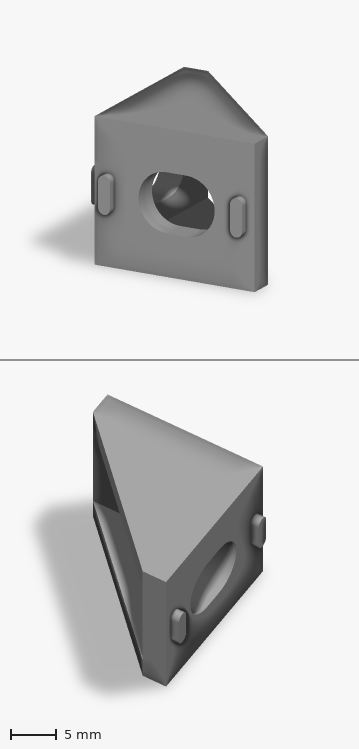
import cadquery as cq

overall = 21.0
height = 17.0
tab_projection = 1.0
leg = overall - tab_projection
wall = 3.0
side_plate = 2.5

slot_length = 9.5
slot_width = 7.0
slot_center = 10.25

tab_width = 1.5
tab_height = 4.5
tab_edge_gap = 1.0
tab_centers = (tab_edge_gap + tab_width / 2, leg - tab_edge_gap - tab_width / 2)

mid_height = height / 2


def make_body():
    """Triangular prism with blunt ends as thick as the walls."""
    outline = [(0, 0), (leg, 0), (leg, wall), (wall, leg), (0, leg)]
    return cq.Workplane("XY").polyline(outline).close().extrude(height)


def make_cavity():
    """Space between the walls and side plates, open on the sloping side."""
    cavity_height = height - 2 * side_plate
    return (
        cq.Workplane("XY", origin=(wall, wall, side_plate))
        .rect(leg, leg, centered=False)
        .extrude(cavity_height)
    )


def make_slot():
    """Screw slot through the wall on the XZ plane."""
    return (
        cq.Workplane("XZ")
        .center(slot_center, mid_height)
        .slot2D(slot_length, slot_width)
        .extrude(-wall)
    )


def make_tabs():
    """Upright rounded tabs standing out from the wall on the XZ plane."""
    return (
        cq.Workplane("XZ")
        .pushPoints([(position, mid_height) for position in tab_centers])
        .slot2D(tab_height, tab_width, angle=90)
        .extrude(tab_projection)
    )


def on_other_wall(shape):
    """Mirror a feature across the diagonal plane X = Y onto the YZ wall."""
    return shape.rotate((0, 0, 0), (0, 0, 1), 90).mirror("YZ")


slot = make_slot()
tabs = make_tabs()

result = make_body().cut(make_cavity())
result = result.cut(slot).cut(on_other_wall(slot))
result = result.union(tabs).union(on_other_wall(tabs))